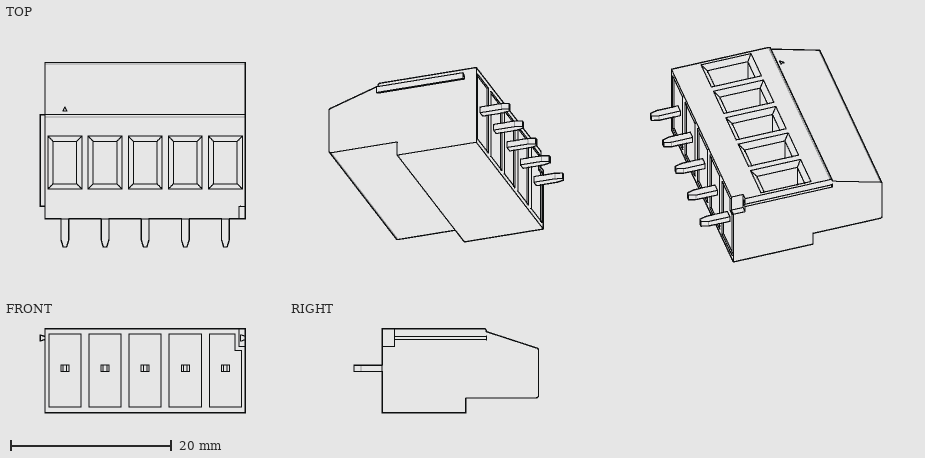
import cadquery as cq
import math


pole_count = 5
pitch = 5.0
housing_width = pole_count * pitch
pole_centers = [(i + 0.5) * pitch for i in range(pole_count)]

housing_height = 10.5
housing_depth = 19.5
ridge_y = 13.0
ridge_step = 0.37
slope_angle = 18.0
underside_z = 1.85
underside_y = 10.45
edge_radius = 0.3

plate_thickness = 1.55
corner_width = 0.8
corner_height = 2.25

panel_side_margin = 0.5
panel_end_margin = 0.7
panel_depth = 0.2
panel_width = pitch - 2 * panel_side_margin
panel_height = housing_height - 2 * panel_end_margin

pin_width = 1.0
pin_thickness = 0.8
pin_length = 3.5
pin_tip_width = 0.45
pin_tip_length = 0.9
pin_bottom_z = 5.15

pocket_width = 4.2
pocket_front_y = 3.75
pocket_length = 6.55
funnel_depth = 0.63
pocket_depth = 4.5

dovetail_reach = 0.6
dovetail_wide = 0.8
dovetail_narrow = 0.4
dovetail_z = 9.33

marker_width = 0.5
marker_length = 0.5
marker_front_y = 13.45
marker_depth = 0.5


def box(x, y, z, dx, dy, dz):
    """Box given by its lowest corner and its sizes."""
    return cq.Workplane("XY").box(dx, dy, dz, centered=False).translate((x, y, z))


def slope_z(y):
    """Height of the rear slope at depth y."""
    drop = (y - ridge_y) * math.tan(math.radians(slope_angle))
    return housing_height - ridge_step - drop


def make_housing():
    profile = [
        (0, 0),
        (underside_y, 0),
        (underside_y, underside_z),
        (housing_depth, underside_z),
        (housing_depth, slope_z(housing_depth)),
        (ridge_y, slope_z(ridge_y)),
        (ridge_y, housing_height),
        (0, housing_height),
    ]
    housing = cq.Workplane("YZ").polyline(profile).close().extrude(housing_width)
    rounded_corners = [
        (housing_depth, underside_z),
        (housing_depth, slope_z(housing_depth)),
        (ridge_y, housing_height),
    ]
    for y, z in rounded_corners:
        corner = cq.selectors.NearestToPointSelector((housing_width / 2, y, z))
        housing = housing.edges(corner).fillet(edge_radius)
    return housing


def make_corner_notch():
    return box(
        housing_width - corner_width, 0, housing_height - corner_height,
        corner_width, plate_thickness, corner_height,
    )


def make_panel(center_x):
    return box(
        center_x - panel_width / 2, 0, panel_end_margin,
        panel_width, panel_depth, panel_height,
    )


def make_corner_wall():
    """Block that keeps a wall between the last panel and the corner notch."""
    width = corner_width + panel_side_margin
    height = corner_height + panel_side_margin
    return box(
        housing_width - width, 0, housing_height - height,
        width, panel_depth, height,
    )


def make_pocket(center_x):
    """45 degree funnel over a straight-walled pocket."""
    center_y = pocket_front_y + pocket_length / 2
    inner_width = pocket_width - 2 * funnel_depth
    inner_length = pocket_length - 2 * funnel_depth
    top = cq.Workplane("XY", origin=(center_x, center_y, housing_height))
    funnel = top.rect(pocket_width, pocket_length).extrude(-funnel_depth, taper=45)
    well = top.rect(inner_width, inner_length).extrude(-pocket_depth)
    return funnel.union(well)


def make_pin(center_x):
    """Flat pin tapering to a blunt tip, rooted in the panel floor."""
    half = pin_width / 2
    half_tip = pin_tip_width / 2
    shoulder_y = pin_tip_length - pin_length
    outline = [
        (-half, panel_depth),
        (half, panel_depth),
        (half, shoulder_y),
        (half_tip, -pin_length),
        (-half_tip, -pin_length),
        (-half, shoulder_y),
    ]
    base = cq.Workplane("XY", origin=(center_x, 0, pin_bottom_z))
    return base.polyline(outline).close().extrude(pin_thickness)


def make_dovetail(root_x):
    """Dovetail bar widening toward -X, running from the plate to the ridge."""
    outline = [
        (0, -dovetail_narrow / 2),
        (0, dovetail_narrow / 2),
        (-dovetail_reach, dovetail_wide / 2),
        (-dovetail_reach, -dovetail_wide / 2),
    ]
    base = cq.Workplane("XZ", origin=(root_x, plate_thickness, dovetail_z))
    return base.polyline(outline).close().extrude(plate_thickness - ridge_y)


def make_marker():
    """Straight-walled triangular engraving sunk into the rear slope."""
    rear_y = marker_front_y + marker_length
    floor_z = slope_z(rear_y) - marker_depth
    left_x = pole_centers[0] - marker_width / 2
    right_x = pole_centers[0] + marker_width / 2
    outline = [(left_x, marker_front_y), (right_x, marker_front_y), (pole_centers[0], rear_y)]
    base = cq.Workplane("XY", origin=(0, 0, floor_z))
    return base.polyline(outline).close().extrude(housing_height - floor_z)


result = make_housing()

for x in pole_centers:
    result = result.cut(make_panel(x))
    result = result.cut(make_pocket(x))
result = result.union(make_corner_wall()).cut(make_corner_notch())

for x in pole_centers:
    result = result.union(make_pin(x))

result = result.union(make_dovetail(0))
result = result.cut(make_dovetail(housing_width))
result = result.cut(make_marker())